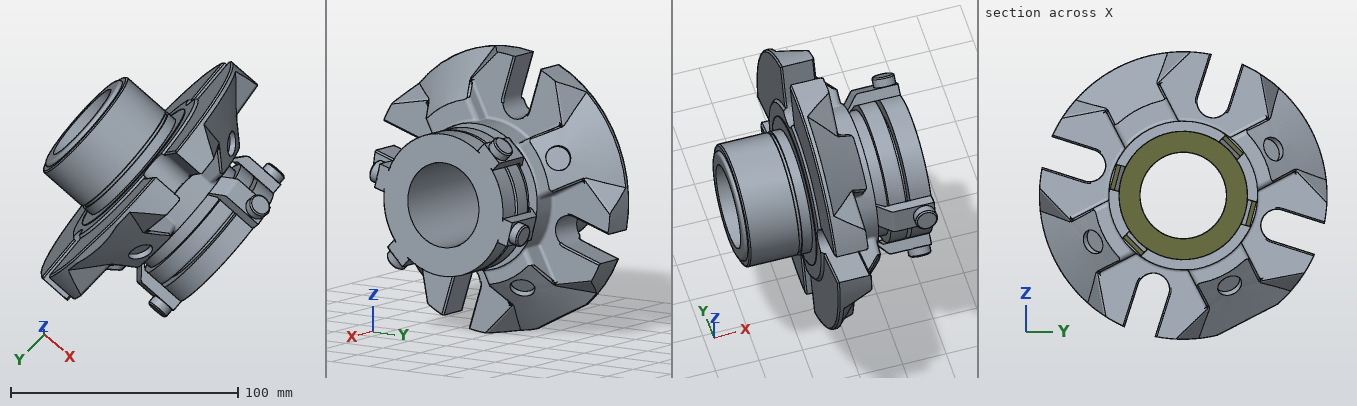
import cadquery as cq
import math


TOTAL_LENGTH = 84.5
NOSE_END = 1.5
SLEEVE_GROOVE_START = 24.3
SLEEVE_GROOVE_END = 25.7
LAND_FACE = 30.3
BOSS_FACE = 30.7
PLATE_FACE = 31.8
CONE_START = 34.3
PLATE_BACK = 47.1
HUB_END = 59.3
RING_START = 65.3
RING_END = 73.0
COLLAR_START = 74.9

BORE_DIAMETER = 38
NOSE_DIAMETER = 50.0
NECK_DIAMETER = 51.5
SLEEVE_GROOVE_DIAMETER = 54.0
SLEEVE_DIAMETER = 55.6
LAND_SLEEVE_DIAMETER = 55.9
REAR_SLEEVE_DIAMETER = 56.6
COLLAR_DIAMETER = 63.7
HUB_DIAMETER = 65.5
LAND_DIAMETER = 67.7
BOSS_DIAMETER = 82.4
PLATE_DIAMETER = 126.7

EDGE_CHAMFER = 0.6
PLATE_CHAMFER = 0.8
RING_SHOULDER_LENGTH = 0.9
RING_SHOULDER_DROP = 0.1
PAD_FILLET = 1.4
PAD_BREAK = 0.9
PAD_CORNER = 2.4
CLIP_BEND = 2.0

FIRST_LOBE_ANGLE = 27.3
LOBE_STEP = 90
LOBE_ANGLES = [FIRST_LOBE_ANGLE + LOBE_STEP * i for i in range(4)]
SLOT_OFFSET = LOBE_STEP / 2
SLOT_WIDTH = 14.2
SLOT_CENTRE = 43.3

PAD_WIDTH = 26.4
PAD_TOP = 58.4
LOW_PAD_TOP = 54.9
LOW_PAD_ANGLE = LOBE_ANGLES[1]
PORT_ANGLES = [angle for angle in LOBE_ANGLES if angle != LOW_PAD_ANGLE]
PORT_DIAMETER = 11.0
PORT_DEPTH = 2.8
PORT_STATION = 53.0
FLAT_ANGLE = LOBE_ANGLES[3]
FLAT_DISTANCE = 61.6

RELIEF_FRONT_HEIGHT = 52.3
RELIEF_BACK_HEIGHT = 45.6
RELIEF_SIDE_ANGLE = 16.5
RELIEF_HALF_WIDTH = 50.7

CLIP_ANGLES = (45, 165, 225, 345)
CLIP_WIDTH = 11.3
CLIP_OUTER = 36.6
CLIP_INNER = 31.5
CLIP_TIP_INNER = 28.0
CLIP_TIP_OUTER = 29.4
CLIP_INNER_BEND = 63.4
PIN_DIAMETER = 10.0
PIN_TIP = 40.9

PLATE_RADIUS = PLATE_DIAMETER / 2
HUB_RADIUS = HUB_DIAMETER / 2
BLANK_RADIUS = PLATE_RADIUS + 12.7
HUB_BLANK_END = HUB_END + 6.3
OVERLAP = 1.3
TOLERANCE = 0.03


def turn(profile):
    """Solid of revolution about X from (station, radius) points."""
    return cq.Workplane("XY").polyline(profile).close().revolve(360, (0, 0, 0), (1, 0, 0))


def rod(start, end, diameter):
    return cq.Workplane("YZ", origin=(start, 0, 0)).circle(diameter / 2).extrude(end - start)


def at_angle(shape, angle):
    return shape.rotate((0, 0, 0), (1, 0, 0), angle)


def cone_radius(station):
    """Radius of the 45 degree lobe cone."""
    return PLATE_RADIUS - (station - CONE_START)


def lobe_box(start, end, width, low, high):
    """Block on the +Y side, centred on Z."""
    size = (end - start, high - low, width)
    return cq.Workplane("XY").box(*size, centered=(False, False, True)).translate((start, low, 0))


def make_slots():
    """Round-ended radial slots through plate and boss."""
    slot = lobe_box(LAND_FACE, PLATE_BACK, SLOT_WIDTH, SLOT_CENTRE, BLANK_RADIUS)
    end = rod(LAND_FACE, PLATE_BACK, SLOT_WIDTH).translate((0, SLOT_CENTRE, 0))
    slot = slot.union(end)
    slots = cq.Workplane("XY")
    for angle in LOBE_ANGLES:
        slots = slots.add(at_angle(slot, angle + SLOT_OFFSET))
    return slots.combine()


def make_lobe_trim():
    """Everything outside the lobe cone and the plate rim.

    The plate shoulders beside the V-shaped reliefs are left out of it, so they stay.
    """
    rise = RELIEF_HALF_WIDTH * math.tan(math.radians(RELIEF_SIDE_ANGLE))

    def section(station, height):
        points = [
            (height, 0),
            (height + rise, RELIEF_HALF_WIDTH),
            (BLANK_RADIUS + rise, RELIEF_HALF_WIDTH),
            (BLANK_RADIUS + rise, -RELIEF_HALF_WIDTH),
            (height + rise, -RELIEF_HALF_WIDTH),
        ]
        return cq.Wire.makePolygon([cq.Vector(station, y, z) for y, z in points], close=True)

    def wedge(start, start_height, end, end_height):
        ends = [section(start, start_height), section(end, end_height)]
        return cq.Workplane(obj=cq.Solid.makeLoft(ends, True))

    bevel_start = PLATE_BACK - PLATE_CHAMFER
    slope = (RELIEF_BACK_HEIGHT - RELIEF_FRONT_HEIGHT) / (PLATE_BACK - CONE_START)
    bevel_height = RELIEF_BACK_HEIGHT - slope * PLATE_CHAMFER
    relief = wedge(CONE_START, RELIEF_FRONT_HEIGHT, bevel_start, bevel_height)
    relief = relief.union(wedge(bevel_start, bevel_height, PLATE_BACK, bevel_height - PLATE_CHAMFER))
    shoulders = rod(CONE_START, PLATE_BACK, PLATE_DIAMETER)
    for angle in LOBE_ANGLES:
        shoulders = shoulders.cut(at_angle(relief, angle))
    outside = turn([
        (PLATE_FACE, PLATE_RADIUS),
        (CONE_START, PLATE_RADIUS),
        (HUB_END, cone_radius(HUB_END)),
        (HUB_END, 2 * BLANK_RADIUS),
        (PLATE_FACE, 2 * BLANK_RADIUS),
    ])
    return outside.cut(shoulders)


def is_pad_corner(edge):
    """True for an inside corner between pad, hub and plate."""
    points = [edge.positionAt(t) for t in (0, 0.5, 1)]
    below_top = edge.Center().x < HUB_BLANK_END - TOLERANCE
    on_hub = all(abs(math.hypot(p.y, p.z) - HUB_RADIUS) < TOLERANCE for p in points)
    on_plate = all(abs(p.x - PLATE_BACK) < TOLERANCE for p in points)
    return below_top and (on_hub or (on_plate and edge.geomType() == "LINE"))


def make_pad_break():
    """Narrow bevels along the two sloping edges of a pad."""
    wall = PAD_WIDTH / 2
    station = (PLATE_BACK + PAD_TOP) / 2
    height = math.sqrt(cone_radius(station) ** 2 - (wall - PAD_BREAK) ** 2)
    slope = cq.Plane(origin=(station, height, 0), xDir=(0, 0, 1), normal=(-1, 1, 0))
    corner = [
        (wall - PAD_BREAK, 0),
        (wall, -PAD_BREAK),
        (wall, OVERLAP),
        (wall - PAD_BREAK, OVERLAP),
    ]
    bevel = cq.Workplane(slope).polyline(corner).close().extrude(PAD_WIDTH, both=True)
    bevels = bevel.union(bevel.mirror("XY"))
    return bevels.intersect(lobe_box(PLATE_BACK, HUB_END, PLATE_DIAMETER, 0, PLATE_RADIUS))


def make_plate_and_pads():
    """Plate and hub with four filleted pads, trimmed to the lobe cone."""
    body = rod(PLATE_FACE, PLATE_BACK, 2 * BLANK_RADIUS).union(rod(PLATE_FACE, HUB_BLANK_END, HUB_DIAMETER))
    for angle in LOBE_ANGLES:
        top = LOW_PAD_TOP if angle == LOW_PAD_ANGLE else PAD_TOP
        pad = lobe_box(PLATE_FACE, top, PAD_WIDTH, 0, BLANK_RADIUS + OVERLAP)
        pad = pad.edges("|Y and >X").fillet(PAD_CORNER)
        body = body.union(at_angle(pad, angle))
    corners = [edge for edge in body.edges().vals() if is_pad_corner(edge)]
    body = body.newObject(corners).fillet(PAD_FILLET)

    body = body.cut(rod(HUB_END, HUB_BLANK_END, 2 * HUB_DIAMETER))
    body = body.cut(make_lobe_trim())
    for angle in LOBE_ANGLES:
        body = body.cut(at_angle(make_pad_break(), angle))
    return body


def cut_slots_and_flat(body):
    """Cut the slots and the rim flat, then break the front edges and the slot edges."""
    slots = make_slots()
    flat = lobe_box(PLATE_FACE, PLATE_BACK, PLATE_DIAMETER, FLAT_DISTANCE, BLANK_RADIUS)
    body = body.cut(at_angle(flat, FLAT_ANGLE)).cut(slots)

    def is_back_slot_edge(edge):
        points = [edge.positionAt(t) for t in (0, 0.5, 1)]
        on_back = all(abs(p.x - PLATE_BACK) < TOLERANCE for p in points)
        radius = math.hypot(points[1].y, points[1].z)
        turned = math.atan2(points[1].z, points[1].y) - math.radians(LOBE_ANGLES[0] + SLOT_OFFSET)
        across = radius * min(abs(math.sin(turned)), abs(math.cos(turned)))
        on_side = edge.geomType() == "LINE" and abs(across - SLOT_WIDTH / 2) < TOLERANCE
        on_end = abs(radius - (SLOT_CENTRE - SLOT_WIDTH / 2)) < TOLERANCE
        return on_back and (on_side or on_end)

    slot_edges = [edge for edge in body.edges().vals() if is_back_slot_edge(edge)]
    broken = body.faces("<X").edges().vals() + slot_edges
    return body.newObject(broken).chamfer(PLATE_CHAMFER)


def make_ports():
    """Shallow round spots, square to the lobe cone."""
    inward = (-1, -1, 0)
    mouth = (PORT_STATION, cone_radius(PORT_STATION), 0)
    plane = cq.Plane(origin=mouth, xDir=(0, 0, 1), normal=inward)
    port = cq.Workplane(plane).circle(PORT_DIAMETER / 2).extrude(PORT_DEPTH)
    port = port.union(cq.Workplane(plane).circle(PORT_DIAMETER / 2).extrude(-PORT_DEPTH))
    ports = cq.Workplane("XY")
    for angle in PORT_ANGLES:
        ports = ports.add(at_angle(port, angle))
    return ports.combine()


def make_boss():
    """Stepped boss on the front of the plate."""
    boss_front_radius = BOSS_DIAMETER / 2 - (PLATE_FACE - BOSS_FACE)
    return turn([
        (LAND_FACE, 0),
        (LAND_FACE, LAND_DIAMETER / 2),
        (BOSS_FACE, LAND_DIAMETER / 2),
        (BOSS_FACE, boss_front_radius),
        (PLATE_FACE, BOSS_DIAMETER / 2),
        (PLATE_BACK, BOSS_DIAMETER / 2),
        (PLATE_BACK, 0),
    ])


def make_shaft_sleeve():
    """Front sleeve with rounded nose and groove, and the neck under the rings."""
    nose = rod(0, NOSE_END + OVERLAP, NOSE_DIAMETER).faces("<X").edges().fillet(NOSE_END)
    sleeve = rod(NOSE_END, SLEEVE_GROOVE_START, SLEEVE_DIAMETER).faces("<X").chamfer(EDGE_CHAMFER)
    groove = rod(SLEEVE_GROOVE_START, SLEEVE_GROOVE_END, SLEEVE_GROOVE_DIAMETER)
    land = rod(SLEEVE_GROOVE_END, LAND_FACE, LAND_SLEEVE_DIAMETER)
    rear = rod(LAND_FACE, RING_START, REAR_SLEEVE_DIAMETER)
    neck = rod(RING_START, COLLAR_START, NECK_DIAMETER)
    return nose.union(sleeve).union(groove).union(land).union(rear).union(neck)


def make_collars():
    """Clamp ring and end collar."""
    radius = COLLAR_DIAMETER / 2
    ring = turn([
        (RING_START, 0),
        (RING_START, radius - RING_SHOULDER_DROP),
        (RING_START + RING_SHOULDER_LENGTH, radius),
        (RING_END - RING_SHOULDER_LENGTH, radius),
        (RING_END, radius - RING_SHOULDER_DROP),
        (RING_END, 0),
    ])
    collar = rod(COLLAR_START, TOTAL_LENGTH, COLLAR_DIAMETER)
    return ring.union(collar)


def make_clip():
    """Setting clip that bends down behind the hub, with its round pin."""
    side = [
        (HUB_END, CLIP_TIP_INNER),
        (HUB_END, CLIP_TIP_OUTER),
        (RING_START, CLIP_OUTER),
        (TOTAL_LENGTH, CLIP_OUTER),
        (TOTAL_LENGTH, CLIP_INNER),
        (CLIP_INNER_BEND, CLIP_INNER),
    ]
    clip = cq.Workplane("XY").polyline(side).close().extrude(CLIP_WIDTH / 2, both=True)
    bend = cq.selectors.NearestToPointSelector((RING_START, CLIP_OUTER, 0))
    clip = clip.edges(bend).fillet(CLIP_BEND)
    pin_base = cq.Workplane("XZ", origin=(TOTAL_LENGTH - PIN_DIAMETER / 2, PIN_TIP, 0))
    pin = pin_base.circle(PIN_DIAMETER / 2).extrude(PIN_TIP - CLIP_INNER)
    return clip.union(pin.faces(">Y").chamfer(EDGE_CHAMFER))


body = cut_slots_and_flat(make_plate_and_pads())
body = body.union(make_boss().cut(make_slots()))
body = body.cut(make_ports())
body = body.union(make_shaft_sleeve()).union(make_collars())
for clip_angle in CLIP_ANGLES:
    body = body.union(at_angle(make_clip(), clip_angle))
result = body.cut(rod(0, TOTAL_LENGTH, BORE_DIAMETER))